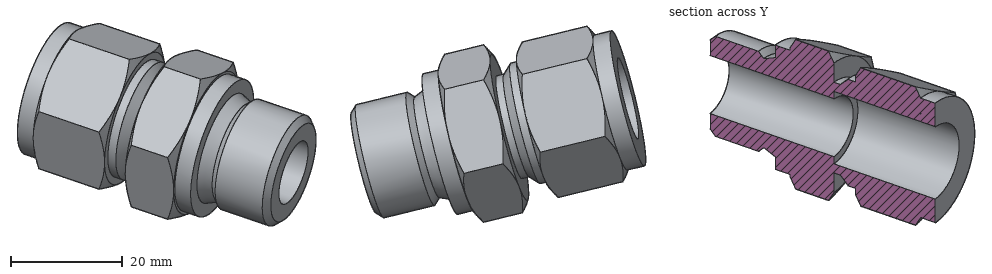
import cadquery as cq
import math


nut_collar_end = 3.17
nut_hex_end = 17.4
shoulder_end = 19.0
body_hex_start = 22.0
body_hex_end = 31.65
seal_collar_end = 34.8
stud_start = 37.3
total_length = 49.0

nut_across_flats = 25.0
body_across_flats = 27.0
hex_sides = 6
hex_chamfer_angle = 30.0

shoulder_diameter = 22.3
neck_diameter = 19.0
seal_collar_diameter = 26.0
stud_diameter = 20.955
stud_chamfer = 1.16
relief_cone_diameter = 20.8

tube_diameter = 15.0
through_bore_diameter = 12.0
tube_socket_depth = body_hex_start


def cylinder(start, end, diameter):
    """Round bar along X between two positions."""
    return cq.Workplane("YZ", origin=(start, 0, 0)).circle(diameter / 2).extrude(end - start)


def cone(start, end, start_diameter, end_diameter):
    """Tapered round section along X."""
    return (
        cq.Workplane("XZ")
        .moveTo(start, 0)
        .lineTo(start, start_diameter / 2)
        .lineTo(end, end_diameter / 2)
        .lineTo(end, 0)
        .close()
        .revolve(360, (0, 0, 0), (1, 0, 0))
    )


def chamfered_bar(start, end, diameter, end_diameter, chamfer_length):
    """Round bar along X, tapered at both ends to the end diameter."""
    return (
        cq.Workplane("XZ")
        .moveTo(start, 0)
        .lineTo(start, end_diameter / 2)
        .lineTo(start + chamfer_length, diameter / 2)
        .lineTo(end - chamfer_length, diameter / 2)
        .lineTo(end, end_diameter / 2)
        .lineTo(end, 0)
        .close()
        .revolve(360, (0, 0, 0), (1, 0, 0))
    )


def chamfered_hexagon(start, end, across_flats):
    """Hexagon whose corners are turned down to the across-flats circle at both ends."""
    across_corners = across_flats / math.cos(math.pi / hex_sides)
    corner_height = (across_corners - across_flats) / 2
    chamfer_length = corner_height * math.tan(math.radians(hex_chamfer_angle))
    prism = (
        cq.Workplane("YZ", origin=(start, 0, 0))
        .polygon(hex_sides, across_corners)
        .extrude(end - start)
        .rotate((0, 0, 0), (1, 0, 0), 90)
    )
    return prism.intersect(chamfered_bar(start, end, across_corners, across_flats, chamfer_length))


def make_nut():
    collar = cylinder(0, nut_collar_end, nut_across_flats)
    return collar.union(chamfered_hexagon(nut_collar_end, nut_hex_end, nut_across_flats))


def make_body():
    neck_start = shoulder_end + (shoulder_diameter - neck_diameter) / 2
    shoulder = cylinder(nut_hex_end, shoulder_end, shoulder_diameter)
    shoulder_taper = cone(shoulder_end, neck_start, shoulder_diameter, neck_diameter)
    neck = cylinder(neck_start, body_hex_start, neck_diameter)
    hexagon = chamfered_hexagon(body_hex_start, body_hex_end, body_across_flats)
    seal_collar = cylinder(body_hex_end, seal_collar_end, seal_collar_diameter)
    return shoulder.union(shoulder_taper).union(neck).union(hexagon).union(seal_collar)


def make_stud():
    end_diameter = stud_diameter - 2 * stud_chamfer
    relief = cone(seal_collar_end, stud_start, relief_cone_diameter, end_diameter)
    return relief.union(chamfered_bar(stud_start, total_length, stud_diameter, end_diameter, stud_chamfer))


def make_bores():
    tube_socket = cylinder(0, tube_socket_depth, tube_diameter)
    return tube_socket.union(cylinder(0, total_length, through_bore_diameter))


result = make_nut().union(make_body()).union(make_stud()).cut(make_bores())